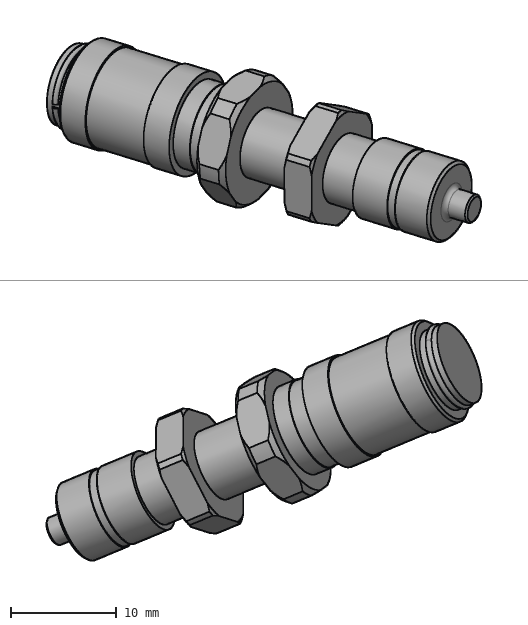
import cadquery as cq
import math


PLUG_DIA = 8.15
RING_X = 0.95
RING_WIRE_RADIUS = 0.34
RING_PITCH_RADIUS = 3.95
RING_GAP = 0.4

SLEEVE_X = 1.95
COLLAR_DIA = 10.35
COLLAR_FACE_DIA = 9.9
COLLAR_CHAMFER = 0.25
LABEL_DIA = 10.0
LABEL_X = 4.95
REAR_COLLAR_X = 11.45

NECK_X = 14.3
NECK_DIA = 8.87
SHOULDER_X = 16.17
SHOULDER_DIA = 9.05

SHAFT_DIA = 7.0

HOSE_END_X = 33.95
HOSE_END_DIA = 8.0
HOSE_GROOVE_X = 37.8
HOSE_GROOVE_WIDTH = 0.85
HOSE_GROOVE_DIA = 7.8
HOSE_END_FACE_X = 42.5
HOSE_END_CHAMFER = 0.25

TOTAL_LENGTH = 45.05
SPIGOT_DIA = 2.85
SPIGOT_FILLET = 0.5
SPIGOT_CHAMFER = 0.2

BODY_HEX_X = 17.95
BODY_HEX_LENGTH = 3.2
BODY_HEX_FLATS = 12.05
BODY_HEX_CORNER_DIA = 13.0
BODY_HEX_FACE_DIA = 12.15
BODY_HEX_CHAMFER = 0.55
BODY_HEX_TURN = 6.6

NUT_X = 27.3
NUT_LENGTH = 3.0
NUT_FLATS = 11.0
NUT_CORNER_DIA = 12.35
NUT_FACE_DIA = 11.65
NUT_CHAMFER = 0.23
NUT_TURN = 30.0


def disc(x_start, x_end, diameter):
    """Cylinder on the X axis between two X positions."""
    return cq.Workplane("YZ", origin=(x_start, 0, 0)).circle(diameter / 2).extrude(x_end - x_start)


def chamfered_hex(x_start, length, flats, corner_dia, face_dia, chamfer, turn):
    """Hexagon along X, with corners cut to a cylinder that has a cone at each end."""
    across_corners = flats / math.cos(math.radians(30))
    prism = (
        cq.Workplane("YZ", origin=(x_start, 0, 0))
        .transformed(rotate=(0, 0, turn))
        .polygon(6, across_corners)
        .extrude(length)
    )
    x_end = x_start + length
    envelope = (
        cq.Workplane("XY")
        .moveTo(x_start, 0)
        .lineTo(x_start, face_dia / 2)
        .lineTo(x_start + chamfer, corner_dia / 2)
        .lineTo(x_end - chamfer, corner_dia / 2)
        .lineTo(x_end, face_dia / 2)
        .lineTo(x_end, 0)
        .close()
        .revolve(360, (0, 0, 0), (1, 0, 0))
    )
    return prism.intersect(envelope)


def make_snap_ring():
    """Round-wire ring around the plug, with a narrow gap on the -Y side."""
    ring = (
        cq.Workplane("XY")
        .center(RING_X, RING_PITCH_RADIUS)
        .circle(RING_WIRE_RADIUS)
        .revolve(360, (0, -RING_PITCH_RADIUS, 0), (1, -RING_PITCH_RADIUS, 0))
    )
    gap_cutter = cq.Workplane("XY").box(
        2 * RING_WIRE_RADIUS, COLLAR_DIA / 2, RING_GAP, centered=(True, False, True)
    ).translate((RING_X, -COLLAR_DIA / 2, 0))
    return ring.cut(gap_cutter)


def make_sleeve():
    """Front collar with its chamfered edge, label band and rear collar."""
    front_collar = (
        disc(SLEEVE_X, LABEL_X, COLLAR_DIA)
        .faces("<X")
        .chamfer(COLLAR_CHAMFER, (COLLAR_DIA - COLLAR_FACE_DIA) / 2)
    )
    label_band = disc(LABEL_X, REAR_COLLAR_X, LABEL_DIA)
    rear_collar = disc(REAR_COLLAR_X, NECK_X, COLLAR_DIA)
    return front_collar.union(label_band).union(rear_collar)


def make_hose_end():
    """Grooved cylinder with a chamfered right edge."""
    groove_end_x = HOSE_GROOVE_X + HOSE_GROOVE_WIDTH
    left_part = disc(HOSE_END_X, HOSE_GROOVE_X, HOSE_END_DIA)
    groove_floor = disc(HOSE_GROOVE_X, groove_end_x, HOSE_GROOVE_DIA)
    right_part = disc(groove_end_x, HOSE_END_FACE_X, HOSE_END_DIA).faces(">X").chamfer(HOSE_END_CHAMFER)
    return left_part.union(groove_floor).union(right_part)


def make_spigot():
    """Small end pin with a concave fillet at its root and a chamfered tip."""
    radius = SPIGOT_DIA / 2
    fillet_mid = SPIGOT_FILLET * (1 - math.sqrt(0.5))
    return (
        cq.Workplane("XY")
        .moveTo(HOSE_END_FACE_X, 0)
        .lineTo(HOSE_END_FACE_X, radius + SPIGOT_FILLET)
        .threePointArc(
            (HOSE_END_FACE_X + fillet_mid, radius + fillet_mid),
            (HOSE_END_FACE_X + SPIGOT_FILLET, radius),
        )
        .lineTo(TOTAL_LENGTH - SPIGOT_CHAMFER, radius)
        .lineTo(TOTAL_LENGTH, radius - SPIGOT_CHAMFER)
        .lineTo(TOTAL_LENGTH, 0)
        .close()
        .revolve(360, (0, 0, 0), (1, 0, 0))
    )


def make_body():
    """Coupling body: every fixed section along the axis, joined into one solid."""
    body_hex = chamfered_hex(
        BODY_HEX_X, BODY_HEX_LENGTH, BODY_HEX_FLATS, BODY_HEX_CORNER_DIA,
        BODY_HEX_FACE_DIA, BODY_HEX_CHAMFER, BODY_HEX_TURN,
    )
    return (
        disc(0, SLEEVE_X, PLUG_DIA)
        .union(make_snap_ring())
        .union(make_sleeve())
        .union(disc(NECK_X, SHOULDER_X, NECK_DIA))
        .union(disc(SHOULDER_X, BODY_HEX_X, SHOULDER_DIA))
        .union(body_hex)
        .union(disc(BODY_HEX_X + BODY_HEX_LENGTH, HOSE_END_X, SHAFT_DIA))
        .union(make_hose_end())
        .union(make_spigot())
    )


def make_nut():
    """Lock nut whose bore fits the threaded shaft."""
    blank = chamfered_hex(
        NUT_X, NUT_LENGTH, NUT_FLATS, NUT_CORNER_DIA, NUT_FACE_DIA, NUT_CHAMFER, NUT_TURN
    )
    return blank.cut(disc(NUT_X, NUT_X + NUT_LENGTH, SHAFT_DIA))


body = make_body()
nut = make_nut()

result = cq.Compound.makeCompound([body.solids().val(), nut.solids().val()])